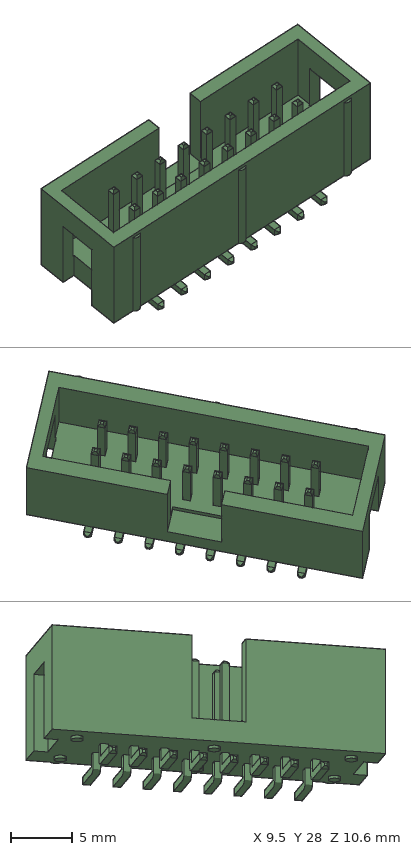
import cadquery as cq


body_width = 8.9
body_length = 27.98
body_height = 8.9
body_bottom = 1.7
body_top = body_bottom + body_height
side_wall = 1.275
end_wall = 1.1
floor_thickness = 2.35
floor_top = body_bottom + floor_thickness

notch_width = 4.5
notch_depth = 2.05
notch_step = 0.52

slot_width = 3.5
slot_height = 6.52
slot_overcut = 0.08

pitch = 2.54
pins_per_row = 8
pin_size = 0.64
pin_recess = 1.06
pin_top = body_top - pin_recess
pin_reach = 4.75
bend_radius = 0.5
tip_length = 0.22
lead_tip_length = 0.27
tip_size = 0.24

round_diameter = 1.0
foot_height = 0.25
foot_x = 2.84
rib_protrusion = 0.22
rib_top_gap = 0.33
support_spacing = 11.5
support_rows = [-support_spacing, 0, support_spacing]


def box(x_range, y_range, z_range):
    """Axis-aligned block between the given limits."""
    low, high = zip(x_range, y_range, z_range)
    size = [b - a for a, b in zip(low, high)]
    return cq.Workplane("XY").box(*size, centered=False).translate(low)


def centred(length):
    """Limits of a length centred on zero."""
    return (-length / 2, length / 2)


def make_housing():
    """Open-topped box with a thick floor."""
    outside = box(centred(body_width), centred(body_length), (body_bottom, body_top))
    cavity = box(
        centred(body_width - 2 * side_wall),
        centred(body_length - 2 * end_wall),
        (floor_top, body_top),
    )
    return outside.cut(cavity)


def key_notch():
    """Cut through the -X wall that also steps down into the floor."""
    outer_face = -body_width / 2
    return box(
        (outer_face, outer_face + notch_depth),
        centred(notch_width),
        (floor_top - notch_step, body_top),
    )


def end_slot(side):
    """Cut through one end wall, reaching slightly into the floor block."""
    y_range = sorted(
        (side * body_length / 2, side * (body_length / 2 - end_wall - slot_overcut))
    )
    return box(centred(slot_width), y_range, (body_bottom, body_bottom + slot_height))


def tapered_tip(plane, length):
    """Blunt pyramid that ends a square pin."""
    return (
        cq.Workplane(plane)
        .rect(pin_size, pin_size)
        .workplane(offset=length)
        .rect(tip_size, tip_size)
        .loft()
    )


def make_pin():
    """Bent pin of the +X row: upright post, rounded heel and lead towards +X."""
    half = pin_size / 2
    post_inner = pitch / 2 - half
    post_outer = pitch / 2 + half
    post_end = pin_top - tip_length
    lead_end = pin_reach - lead_tip_length
    post = box((post_inner, post_outer), (-half, half), (0, post_end))
    lead = box((post_inner, lead_end), (-half, half), (0, pin_size))
    bent_bar = post.union(lead).edges("|Y and <X and <Z").fillet(bend_radius)
    post_tip = tapered_tip("XY", tip_length).translate((pitch / 2, 0, post_end))
    lead_tip = tapered_tip("YZ", lead_tip_length).translate((lead_end, 0, half))
    return bent_bar.union(post_tip).union(lead_tip)


def make_foot(x, y):
    """Round standoff under the housing."""
    return (
        cq.Workplane("XY", origin=(x, y, body_bottom - foot_height))
        .circle(round_diameter / 2)
        .extrude(foot_height)
    )


def make_rib(y):
    """Upright round rib partly sunk into the +X wall."""
    centre_x = body_width / 2 + rib_protrusion - round_diameter / 2
    return (
        cq.Workplane("XY", origin=(centre_x, y, body_bottom))
        .circle(round_diameter / 2)
        .extrude(body_height - rib_top_gap)
    )


result = make_housing().cut(key_notch())
for end in (-1, 1):
    result = result.cut(end_slot(end))

for support_y in support_rows:
    result = result.union(make_rib(support_y))
    for foot_side in (-1, 1):
        result = result.union(make_foot(foot_side * foot_x, support_y))

right_pin = make_pin()
left_pin = right_pin.mirror("YZ")
for row in range(pins_per_row):
    pin_y = (row - (pins_per_row - 1) / 2) * pitch
    result = result.union(right_pin.translate((0, pin_y, 0)))
    result = result.union(left_pin.translate((0, pin_y, 0)))